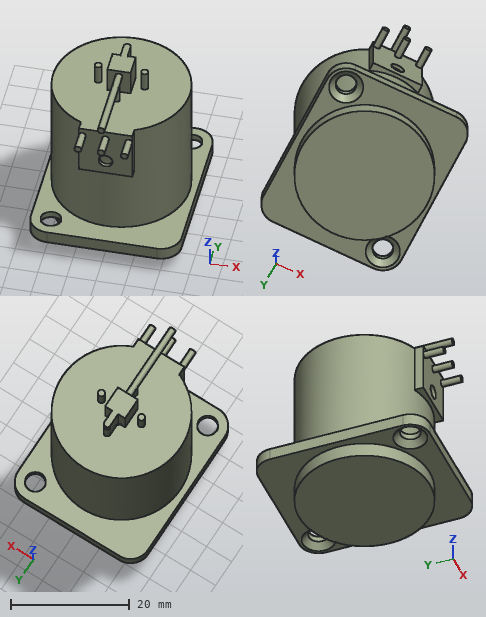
import cadquery as cq

overall_length = 31.5
overall_height = 31.4

body_diameter = 23.6
body_height = 26.75

flange_width = 26.0
flange_length = 31.0
flange_bottom = 2.68
flange_thickness = 2.27
flange_corner_radius = 3.5
mount_hole_diameter = 3.5
mount_hole_x = 9.5
mount_hole_y = 12.03
countersink_depth = flange_thickness / 2

pin_diameter = 1.2
pin_radius = pin_diameter / 2
pin_pitch = 4.0
pin_reach = overall_length - flange_length / 2
upper_pin_z = body_height + 3.5
lower_pin_z = body_height - 1.5

block_width = 2 * (pin_pitch + pin_radius)
block_height = 9.2
block_front = 12.45
block_hole_diameter = 2.4
block_hole_z = body_height - 6.52

carrier_side = 4.0
carrier_height = overall_height - body_height
tongue_width = pin_diameter
tongue_end_center_y = 4.4
rear_pin_y = 4.47

recess_diameter = 2.3
recess_center_y = 1.45
recess_depth = 0.63


def upright_cylinder(diameter, x, y, bottom, top):
    """Cylinder parallel to Z."""
    return cq.Workplane("XY", origin=(x, y, bottom)).circle(diameter / 2).extrude(top - bottom)


def forward_cylinder(diameter, x, z, length):
    """Cylinder running from the XZ plane toward -Y."""
    return cq.Workplane("XZ").center(x, z).circle(diameter / 2).extrude(length)


def make_barrel():
    barrel = upright_cylinder(body_diameter, 0, 0, 0, body_height)
    recess = upright_cylinder(
        recess_diameter, 0, recess_center_y, body_height - recess_depth, body_height
    )
    return barrel.cut(recess)


def make_mount_hole(x, y):
    """Cutting tool for one mounting hole, widening conically toward the underside."""
    hole = upright_cylinder(mount_hole_diameter, x, y, flange_bottom, flange_bottom + flange_thickness)
    hole_radius = mount_hole_diameter / 2
    countersink = cq.Workplane(
        cq.Solid.makeCone(
            hole_radius + countersink_depth,
            hole_radius,
            countersink_depth,
            pnt=cq.Vector(x, y, flange_bottom),
        )
    )
    return hole.union(countersink)


def make_flange():
    flange = (
        cq.Workplane("XY", origin=(0, 0, flange_bottom))
        .rect(flange_width, flange_length)
        .extrude(flange_thickness)
        .edges("|Z")
        .fillet(flange_corner_radius)
    )
    for side in (-1, 1):
        flange = flange.cut(make_mount_hole(side * mount_hole_x, side * mount_hole_y))
    return flange


def make_terminal_block():
    """Block outside the barrel; its hole ends on the barrel's curved wall."""
    block = (
        cq.Workplane("XZ")
        .center(0, body_height - block_height / 2)
        .rect(block_width, block_height)
        .extrude(block_front)
    )
    block = block.cut(forward_cylinder(block_hole_diameter, 0, block_hole_z, block_front))
    return block.cut(upright_cylinder(body_diameter, 0, 0, 0, body_height))


def make_carrier():
    base = cq.Workplane("XY", origin=(0, 0, body_height))
    carrier = base.rect(carrier_side, carrier_side).extrude(carrier_height)
    tongue = (
        base.moveTo(-tongue_width / 2, 0)
        .lineTo(-tongue_width / 2, tongue_end_center_y)
        .threePointArc(
            (0, tongue_end_center_y + tongue_width / 2),
            (tongue_width / 2, tongue_end_center_y),
        )
        .lineTo(tongue_width / 2, 0)
        .close()
        .extrude(carrier_height)
    )
    return carrier.union(tongue)


def make_pins():
    pins = forward_cylinder(pin_diameter, 0, upper_pin_z, pin_reach)
    for x in (-pin_pitch, 0, pin_pitch):
        pins = pins.union(forward_cylinder(pin_diameter, x, lower_pin_z, pin_reach))
    upright_positions = [(-pin_pitch, 0), (pin_pitch, 0), (0, -pin_pitch), (0, rear_pin_y)]
    for x, y in upright_positions:
        pins = pins.union(upright_cylinder(pin_diameter, x, y, lower_pin_z, upper_pin_z))
    return pins


result = (
    make_barrel()
    .union(make_flange())
    .union(make_terminal_block())
    .union(make_carrier())
    .union(make_pins())
)